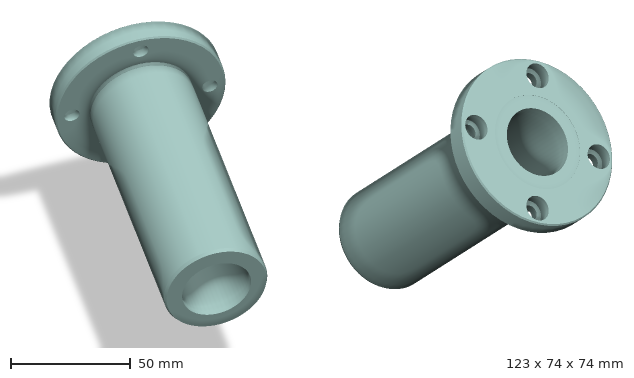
import cadquery as cq

total_length = 123.0
bore_diameter = 30.0

flange_diameter = 74.0
flange_thickness = 10.0
flange_chamfer = 0.6

recess_diameter = 41.7
recess_depth = 0.1

sleeve_diameter = 45.0
sleeve_end_chamfer_length = 1.5
sleeve_end_chamfer_height = 0.7
groove_width = 2.0
groove_depth = 0.4

hole_count = 4
hole_circle_diameter = 60.0
hole_diameter = 6.6
counterbore_diameter = 11.0
counterbore_depth = 6.2


def turned_body():
    """Recessed flange and grooved sleeve with the through bore, turned about the X axis."""
    bore_radius = bore_diameter / 2
    recess_radius = recess_diameter / 2
    flange_radius = flange_diameter / 2
    sleeve_radius = sleeve_diameter / 2
    groove_bottom = (flange_thickness + groove_width / 2, sleeve_radius - groove_depth)
    groove_end = (flange_thickness + groove_width, sleeve_radius)
    half_section = (
        cq.Workplane("XY")
        .moveTo(recess_depth, bore_radius)
        .lineTo(recess_depth, recess_radius)
        .lineTo(0, recess_radius)
        .lineTo(0, flange_radius - flange_chamfer)
        .lineTo(flange_chamfer, flange_radius)
        .lineTo(flange_thickness - flange_chamfer, flange_radius)
        .lineTo(flange_thickness, flange_radius - flange_chamfer)
        .lineTo(flange_thickness, sleeve_radius)
        .threePointArc(groove_bottom, groove_end)
        .lineTo(total_length - sleeve_end_chamfer_length, sleeve_radius)
        .lineTo(total_length, sleeve_radius - sleeve_end_chamfer_height)
        .lineTo(total_length, bore_radius)
        .close()
    )
    return half_section.revolve(360, (0, 0, 0), (1, 0, 0))


def cut_mounting_holes(body):
    """Drill the holes through the flange, counterbored from its outer face."""
    outer_face_plane = cq.Workplane("YZ").transformed(rotate=(0, 180, 0))
    return (
        body.copyWorkplane(outer_face_plane)
        .polarArray(hole_circle_diameter / 2, 0, 360, hole_count)
        .cboreHole(hole_diameter, counterbore_diameter, counterbore_depth, depth=flange_thickness)
    )


result = cut_mounting_holes(turned_body())